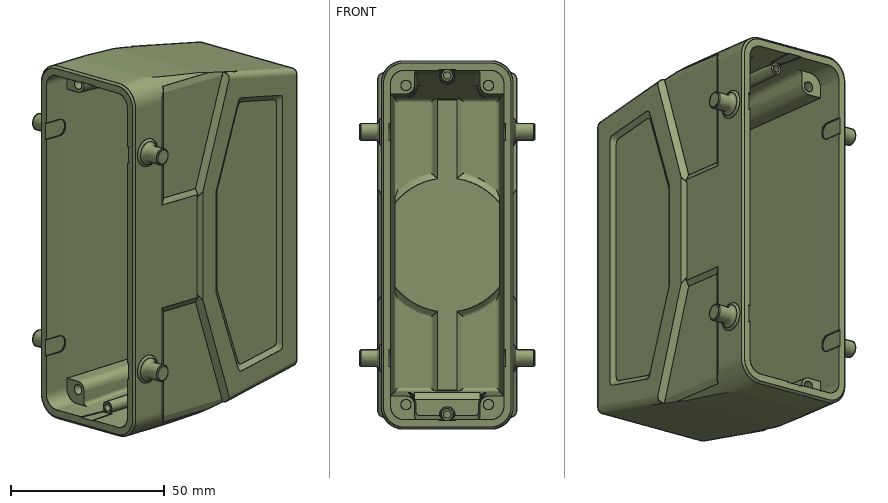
import cadquery as cq
import math


height = 120.0
length = 76.0
pin_span = 57.0
body_width = 43.0
body_corner_radius = 7.3
mouth_chamfer = 0.7
first_taper_y = 11.0
second_taper_y = 32.2
second_taper_half_z = 58.0
back_half_z = 50.4

block_width = 45.4
block_edge_radius = 2.2
border_front_y = 30.8
border_half_z = 18.5
border_slope_angle = 19.0
border_slant_width = 1.5
border_middle_width = 2.8

recess_half_x = 20.5
recess_front_y = 14.8
recess_inner_z = 19.3
recess_wall_width = 1.8
recess_bevel_z = 55.1
recess_bevel_angle = 16.0

panel_depth = 1.2
panel_wall_width = 1.7
panel_back_y = 68.0
panel_back_half_z = 43.2
panel_shoulder_y = 47.8
panel_shoulder_half_z = 46.7
panel_front_y = 37.0
panel_front_half_z = 17.2
panel_corner_radius = 3.0

mouth_width = 37.0
mouth_height = 113.8
mouth_corner_radius = 4.5
mouth_depth = 9.6
cavity_draft = 1.3
cavity_floor_y = 73.8
cavity_kink_half_z = 55.5
cavity_floor_half_z = 47.3

island_height = 1.8
island_radius = 23.6
island_rib_width = 9.8
island_wall_angle = 45.0
floor_fillet = 1.0

boss_inner_x = 10.7
boss_inner_z = 49.2
boss_corner_radius = 2.8
boss_draft = 1.3
boss_foot_fillet = 1.2
screw_x = boss_inner_x + boss_corner_radius
screw_z = boss_inner_z + boss_corner_radius
screw_radius = 1.7
screw_depth = 18.0
rib_radius = 1.9
rib_z = 55.2
rib_draft = 1.5
rib_hole_radius = 1.2
rib_hole_depth = 6.0
groove_mouth_width = 5.4
groove_depth = 0.2
entry_half_z = 48.0
entry_chamfer = 2.3

pin_y = 6.2
pin_z = 36.8
pin_radius = 2.8
pin_tip_chamfer = 0.4
pin_root_radius = 4.7
pin_root_length = 1.9
pin_cone_radius = 3.8
pin_cone_length = 0.6
pin_neck_radius = 1.3
pin_slot_depth = 0.5

overlap = 1.2
half_body = body_width / 2
half_block = block_width / 2


def facing_mouth(y):
    """Workplane at the given Y whose local axes are X and -Z, extruding toward +Y."""
    return cq.Workplane(cq.Plane(origin=(0, y, 0), xDir=(1, 0, 0), normal=(0, 1, 0)))


def flat_to_side(x):
    """Workplane at the given X whose local axes are Y and Z, extruding toward +X."""
    return cq.Workplane("YZ", origin=(x, 0, 0))


def mirrored_in_z(points):
    """Close an outline by repeating the given upper points below Z = 0."""
    return points + [(y, -z) for y, z in reversed(points)]


def side_prism(points, half_width):
    return flat_to_side(-half_width).polyline(points).close().extrude(2 * half_width)


def side_frustum(inner, inner_x, outer, outer_x):
    """Solid between two (Y, Z) outlines with matching corners, on the +X side."""
    base = flat_to_side(inner_x).polyline(inner).close()
    return base.workplane(offset=outer_x - inner_x).polyline(outer).close().loft(ruled=True)


def both_sides(solid):
    return solid.union(solid.mirror("YZ"))


def both_ends(solid):
    return solid.union(solid.mirror("XY"))


def outer_profile():
    """Outline of the shell in Y and Z, its end walls sloping in toward the back."""
    upper = [
        (0, height / 2),
        (first_taper_y, height / 2),
        (second_taper_y, second_taper_half_z),
        (length, back_half_z),
    ]
    return mirrored_in_z(upper)


def make_envelope():
    """Slab that bounds the whole shell, with rounded edges around its thick rear part."""
    slab = side_prism(outer_profile(), half_block)
    rear_edges = cq.selectors.BoxSelector(
        (-half_block - overlap, second_taper_y + overlap, -height),
        (half_block + overlap, length + overlap, height),
    )
    return slab.edges(rear_edges).fillet(block_edge_radius)


def make_body(envelope):
    """Rounded tube of the plug housing, trimmed to the sloping end walls."""
    tube = facing_mouth(0).rect(body_width, height).extrude(length)
    tube = tube.edges("|Y").fillet(body_corner_radius)
    tube = tube.faces("<Y").chamfer(mouth_chamfer)
    return tube.intersect(envelope)


def make_recess():
    """Pocket in the upper part of the +X side, its floor bevelled near the end wall."""
    reach_z = height
    back_y = length - 2 * block_edge_radius
    front_open_y = recess_front_y - recess_wall_width
    inner_open_z = recess_inner_z - recess_wall_width
    floor = [
        (recess_front_y, recess_inner_z),
        (back_y, recess_inner_z),
        (back_y, reach_z),
        (recess_front_y, reach_z),
    ]
    opening = [
        (front_open_y, inner_open_z),
        (back_y, inner_open_z),
        (back_y, reach_z),
        (front_open_y, reach_z),
    ]
    pocket = side_frustum(floor, recess_half_x, opening, half_body)
    bevel_drop = (height / 2 - recess_bevel_z) * math.tan(math.radians(recess_bevel_angle))
    bevel = (
        facing_mouth(recess_front_y)
        .moveTo(recess_half_x, -recess_bevel_z)
        .lineTo(recess_half_x - bevel_drop, -height / 2)
        .lineTo(recess_half_x, -height / 2)
        .close()
        .extrude(back_y - recess_front_y)
    )
    return pocket.union(bevel.mirror("XY"))


def slope_offset(distance):
    """Shift along Y that moves the slanted border sideways by the given distance."""
    return distance / math.cos(math.radians(border_slope_angle))


def border_outline(middle_shift, slant_shift):
    """Rear block outline with its middle and slanted borders moved toward the mouth."""
    slope = math.tan(math.radians(border_slope_angle))
    middle_y = border_front_y - middle_shift
    corner_z = border_half_z + (slope_offset(slant_shift) - middle_shift) / slope
    end_z = height / 2
    end_y = middle_y + (end_z - corner_z) * slope
    return mirrored_in_z([(middle_y, corner_z), (end_y, end_z), (length, end_z)])


def make_rear_block(envelope):
    border = side_frustum(
        border_outline(border_middle_width, border_slant_width), recess_half_x,
        border_outline(0, 0), half_block,
    )
    return envelope.intersect(both_sides(border))


def make_panel():
    opening = mirrored_in_z([
        (panel_front_y, panel_front_half_z),
        (panel_shoulder_y, panel_shoulder_half_z),
        (panel_back_y, panel_back_half_z),
    ])
    taper = math.degrees(math.atan(panel_wall_width / panel_depth))
    cutter = flat_to_side(half_block).polyline(opening).close().extrude(-panel_depth, taper=taper)
    wall_corners = cq.selectors.BoxSelector(
        (half_block - panel_depth, panel_shoulder_y - 2 * panel_wall_width, -height),
        (half_block, length, height),
    )
    return cutter.edges("not #X").edges(wall_corners).fillet(panel_corner_radius)


def cavity_profile():
    upper = [
        (0, mouth_height / 2),
        (mouth_depth, mouth_height / 2),
        (second_taper_y, cavity_kink_half_z),
        (cavity_floor_y, cavity_floor_half_z),
    ]
    return mirrored_in_z(upper)


def make_cavity():
    mouth = facing_mouth(0).rect(mouth_width, mouth_height).extrude(mouth_depth)
    mouth = mouth.edges("|Y").fillet(mouth_corner_radius)
    deep = mouth.faces(">Y").wires().toPending().workplane().extrude(
        cavity_floor_y - mouth_depth, taper=cavity_draft, combine=False)
    return mouth.union(deep.intersect(side_prism(cavity_profile(), half_body)))


def make_island():
    """Round pad with a rib running to both end walls, raised from the cavity floor."""
    base = facing_mouth(cavity_floor_y)
    rib_height = 2 * cavity_floor_half_z + 2 * island_height
    rib = base.rect(island_rib_width, rib_height).extrude(-island_height, taper=island_wall_angle)
    disc = base.circle(island_radius).extrude(-island_height, taper=island_wall_angle)
    disc = disc.intersect(cq.Workplane().box(mouth_width, 3 * length, height))
    return rib.union(disc)


def make_boss():
    """Drafted corner block that carries a screw hole."""
    depth = cavity_floor_y - mouth_depth
    width = half_body - boss_inner_x
    tall = height / 2 - boss_inner_z
    return (
        facing_mouth(mouth_depth)
        .center(boss_inner_x + width / 2, boss_inner_z + tall / 2)
        .sketch().rect(width, tall).vertices("<X and <Y").fillet(boss_corner_radius).finalize()
        .extrude(depth, taper=-boss_draft)
    )


def make_boss_feet():
    """Fill the corners between the upper end wall and the bosses, leaving a rounded channel."""
    depth = cavity_floor_y - mouth_depth
    channel = facing_mouth(mouth_depth).rect(2 * boss_inner_x, 2 * height).extrude(depth, taper=boss_draft)
    channel = channel.intersect(side_prism(cavity_profile(), half_body))
    end_edges = cq.selectors.BoxSelector(
        (-half_body, mouth_depth + overlap, boss_inner_z),
        (half_body, cavity_floor_y - overlap, height / 2),
    )
    channel = channel.edges(end_edges).edges("not |X").fillet(boss_foot_fillet)
    filler = facing_mouth(mouth_depth).center(0, -height / 2).rect(
        2 * boss_inner_x, height - 2 * screw_z).extrude(depth)
    return filler.cut(channel)


def make_screw_hole():
    return facing_mouth(mouth_depth).center(screw_x, -screw_z).circle(screw_radius).extrude(screw_depth)


def make_rib_hole():
    return facing_mouth(mouth_depth).center(0, rib_z).circle(rib_hole_radius).extrude(rib_hole_depth)


def make_rib_groove():
    """Shallow flat groove that widens from the end of a rib to the mouth."""
    outline = [
        (-groove_mouth_width / 2, 0),
        (groove_mouth_width / 2, 0),
        (rib_radius, mouth_depth),
        (-rib_radius, mouth_depth),
    ]
    top = mouth_height / 2 + groove_depth
    return cq.Workplane("XY", origin=(0, 0, top)).polyline(outline).close().extrude(-overlap)


def make_rib():
    depth = cavity_floor_y - mouth_depth
    return facing_mouth(mouth_depth).center(0, rib_z).circle(rib_radius).extrude(depth, taper=-rib_draft)


def make_closed_entry():
    """Thick wall between the lower bosses where the cable entry stays closed."""
    outline = [
        (second_taper_y, -entry_half_z - entry_chamfer),
        (second_taper_y + entry_chamfer, -entry_half_z),
        (cavity_floor_y, -entry_half_z),
        (cavity_floor_y, -height / 2),
        (second_taper_y, -height / 2),
    ]
    return side_prism(outline, boss_inner_x)


def make_pin():
    """Locking pin turned about its own axis along X, with a conical root on the side wall."""
    tip_x = pin_span / 2
    profile = (
        cq.Workplane("XY", origin=(0, pin_y, pin_z))
        .moveTo(half_body - overlap, 0)
        .lineTo(half_body - overlap, pin_root_radius)
        .lineTo(half_body, pin_root_radius)
        .lineTo(half_body + pin_cone_length, pin_cone_radius)
        .radiusArc((half_body + pin_root_length, pin_radius), -pin_neck_radius)
        .lineTo(tip_x - pin_tip_chamfer, pin_radius)
        .lineTo(tip_x, pin_radius - pin_tip_chamfer)
        .lineTo(tip_x, 0)
        .close()
    )
    return profile.revolve(360, (0, 0, 0), (1, 0, 0))


def make_pin_slot():
    """Shallow round-ended slot behind a pin, open at the mouth."""
    return (
        flat_to_side(0)
        .moveTo(0, pin_z - pin_radius)
        .lineTo(pin_y, pin_z - pin_radius)
        .threePointArc((pin_y + pin_radius, pin_z), (pin_y, pin_z + pin_radius))
        .lineTo(0, pin_z + pin_radius)
        .close()
        .extrude(mouth_width / 2 + pin_slot_depth)
    )


envelope = make_envelope()
outer = make_body(envelope).cut(both_sides(both_ends(make_recess())))
outer = outer.union(make_rear_block(envelope))
outer = outer.cut(both_sides(make_panel()))

hollow = make_cavity().cut(both_ends(both_sides(make_boss())))
hollow = hollow.cut(both_ends(make_boss_feet()))
hollow = hollow.cut(both_ends(make_rib())).cut(make_closed_entry()).cut(make_island())
hollow = hollow.faces(">Y").edges().fillet(floor_fillet)
result = outer.cut(hollow)
result = result.cut(both_sides(both_ends(make_screw_hole()))).cut(both_ends(make_rib_hole()))
result = result.cut(both_ends(make_rib_groove()))
result = result.union(both_sides(both_ends(make_pin())))
result = result.cut(both_sides(both_ends(make_pin_slot())))